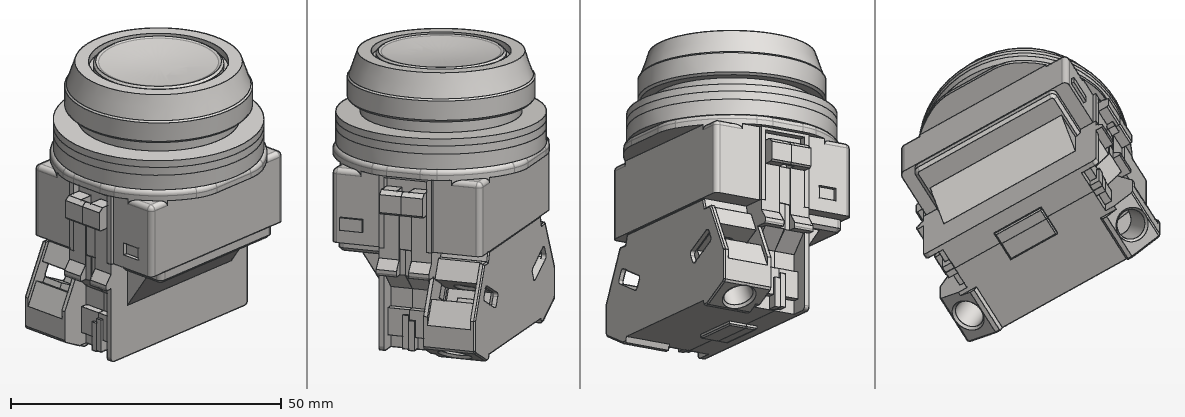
import cadquery as cq
import math


overall_x = 39.0
overall_y = 41.4
top_z = 54.4
neck_top_z = 45.35
flange_top_z = 42.8
gasket_top_z = 41.45
washer_top_z = 39.9
plate_top_z = 36.95
housing_top_z = 35.0
housing_bottom_z = 20.85
core_bottom_z = 1.05

flange_radius = overall_x / 2
neck_radius = 15.0
bezel_radius = 17.4
bezel_top_radius = 15.5
cone_foot_radius = 17.1
cone_foot_z = 49.85
bezel_shoulder_z = 49.5
bezel_chamfer = 0.45
opening_radius = 12.95
ledge_depth = 1.35
button_radius = 12.1
rim_radius = 11.65
rim_drop = 0.45
dish_radius = 11.1
dish_edge_drop = 0.15
dish_depth = 0.65

plate_radius = 20.1
plate_half_x = 19.0
plate_half_y = 19.55
plate_corner_radius = 9.8
edge_round = 1.0
housing_half_x = 14.8
housing_half_y = 17.95
rail_half_x = 5.2
rail_half_y = 18.55
groove_half_x = 4.25
groove_floor_y = 17.0
groove_top_z = 34.4
pocket_x = 9.7
pocket_width = 3.65
pocket_z = 24.6
pocket_height = 2.4
pocket_depth = 0.8
nub_x = 10.8
nub_width = 4.45
nub_height = 0.55

slot_half_x = 1.2
lug_bottom_z = 27.9
lug_top_z = 32.4
lug_half_y = overall_y / 2
lug_chamfer_y = 0.85
lug_chamfer_z = 0.75
lug_bottom_chamfer = 0.3
lug_face_thickness = 0.9
guide_half_y = 18.3
hook_half_y = 19.95
hook_top_z = 18.9
hook_corner_z = 17.0
hook_lip_z = 16.3
hook_bottom_z = 15.95
hook_lip_slant = 0.1

core_half_y = 14.9
core_step_half_y = 16.3
core_step_top_z = 8.85
core_step_bottom_z = 3.65
overhang_bottom_z = 12.55
rib_width = 1.15
rib_half_y = 16.85
bump_half_y = 5.05
bump_bottom_z = 0.25
bump_chamfer = 0.25

block_left_x = -14.65
block_right_x = -rail_half_x
cheek_right_x = -4.45
block_half_y = overall_y / 2
block_edge_chamfer = 0.25
shelf_z = 18.9
shoulder_half_y = 13.35
shelf_inner_y = 13.9
shelf_outer_y = 15.85
wall_top_z = 9.15
wall_bottom_z = 3.4
wall_bevel_half_y = 20.45
wall_bevel_z = 2.9
foot_outer_y = 14.7
foot_inner_y = 13.8
terminal_x = -9.45
terminal_y = -12.45
terminal_z = 11.8
recess_half_x = block_right_x - terminal_x
recess_bottom_z = 7.5
cavity_above = 1.2
entry_below = 2.55
chamber_below = 4.35
cavity_inward = 2.35
entry_edge = 3.4
entry_outward = 8.7
wire_hole_radius = 2.8
wire_mouth_radius = 3.2
wire_mouth_depth = 0.55
screw_seat_radius = 2.3
screw_seat_floor_radius = 1.75
screw_seat_depth = 0.55
slot_length = 7.05
slot_width = 2.9
slot_corner_radius = 0.65
groove_width = 3.15
groove_depth = 0.3

blank_right_x = 14.7
blank_flange_bottom_z = 18.5
blank_flange_half_y = 15.25
blank_flange_round = 1.1
blank_flange_chamfer = 0.65
gusset_half_y = 14.15
gusset_outer_x = 10.2
gusset_bottom_z = 11.2
side_plate_round = 0.8


def box(x_min, x_max, y_min, y_max, z_min, z_max):
    """Block between the given limits."""
    size_x = x_max - x_min
    size_y = y_max - y_min
    size_z = z_max - z_min
    return cq.Workplane("XY").box(size_x, size_y, size_z, centered=False).translate((x_min, y_min, z_min))


def disc(radius, bottom_z, upper_z):
    """Cylinder on the button axis, from bottom_z up to upper_z."""
    return cq.Workplane("XY").workplane(offset=bottom_z).circle(radius).extrude(upper_z - bottom_z)


def prism_along_x(points, x_min, x_max):
    """Extrude a (y, z) outline from x_min to x_max."""
    return cq.Workplane("YZ").workplane(offset=x_min).polyline(points).close().extrude(x_max - x_min)


def symmetric_outline(half_points):
    """Close a (y, z) half outline with its mirror image about y = 0."""
    return half_points + [(-y, z) for y, z in reversed(half_points)]


def with_mirror(feature):
    """Join a feature on the -Y side with its twin on the +Y side."""
    return feature.union(feature.mirror("XZ"))


def make_button():
    """Push button cap: rounded rim around a shallow spherical dish."""
    dish_edge_z = top_z - dish_edge_drop
    outline = (
        cq.Workplane("XZ")
        .moveTo(0, neck_top_z)
        .lineTo(button_radius, neck_top_z)
        .lineTo(button_radius, top_z - rim_drop)
        .lineTo(rim_radius, top_z)
        .lineTo(dish_radius, dish_edge_z)
    )
    sphere_radius = (dish_radius**2 + dish_depth**2) / (2 * dish_depth)
    dish_bottom_z = dish_edge_z - dish_depth
    mid_rise = sphere_radius - math.sqrt(sphere_radius**2 - (dish_radius / 2) ** 2)
    mid_point = (dish_radius / 2, dish_bottom_z + mid_rise)
    return outline.threePointArc(mid_point, (0, dish_bottom_z)).close().revolve()


def make_bezel():
    """Conical bezel ring with a ledge around the button."""
    ledge_z = top_z - ledge_depth
    return (
        cq.Workplane("XZ")
        .polyline([
            (button_radius, neck_top_z),
            (bezel_radius - bezel_chamfer, neck_top_z),
            (bezel_radius, neck_top_z + bezel_chamfer),
            (bezel_radius, bezel_shoulder_z),
            (cone_foot_radius, cone_foot_z),
            (bezel_top_radius, top_z),
            (opening_radius, top_z),
            (opening_radius, ledge_z),
            (button_radius, ledge_z),
        ])
        .close()
        .revolve()
    )


def make_operator():
    """Neck below the bezel and the flange that clamps the panel."""
    neck = disc(neck_radius, flange_top_z, neck_top_z)
    return disc(flange_radius, gasket_top_z, flange_top_z).union(neck)


def make_gasket():
    return disc(flange_radius, washer_top_z, gasket_top_z)


def make_washer():
    return disc(flange_radius, plate_top_z, washer_top_z)


def plate_shape(bottom_z, upper_z):
    """Round plate with four flats and softened corners between arcs and flats."""
    flats = box(-plate_half_x, plate_half_x, -plate_half_y, plate_half_y, bottom_z, upper_z)
    plate = disc(plate_radius, bottom_z, upper_z).intersect(flats)
    return plate.edges("|Z").fillet(plate_corner_radius)


def make_housing():
    body = (
        box(
            -housing_half_x, housing_half_x, -housing_half_y, housing_half_y,
            housing_bottom_z, housing_top_z,
        )
        .edges("|Z or >Z")
        .fillet(edge_round)
    )

    walls = box(
        -housing_half_x, housing_half_x, -housing_half_y, housing_half_y,
        housing_top_z - edge_round, housing_top_z,
    )
    straight_walls = plate_shape(housing_top_z - edge_round, housing_top_z).intersect(walls)
    plate = plate_shape(housing_top_z, plate_top_z).faces(">Z").edges().fillet(edge_round)
    rails = box(-rail_half_x, rail_half_x, -rail_half_y, rail_half_y, housing_bottom_z, housing_top_z)
    body = body.union(straight_walls).union(rails).union(plate)

    groove = box(
        -groove_half_x, groove_half_x, -rail_half_y, -groove_floor_y, housing_bottom_z, groove_top_z
    )
    guide = box(-slot_half_x, slot_half_x, -guide_half_y, -groove_floor_y, housing_bottom_z, lug_bottom_z)
    body = body.cut(with_mirror(groove)).union(with_mirror(guide))

    pocket = cq.Workplane("XY").box(pocket_width, 2 * pocket_depth, pocket_height)
    nub = cq.Workplane("XY").box(nub_width, 2 * nub_height, pocket_height)
    body = body.cut(pocket.translate((pocket_x, -housing_half_y, pocket_z)))
    return body.union(nub.translate((nub_x, housing_half_y, pocket_z)))


def half_latch():
    """Lug, latch strip and hook on the -Y side, from x = 0 outwards."""
    lug = prism_along_x([
        (-groove_floor_y, lug_bottom_z),
        (-lug_half_y + lug_bottom_chamfer, lug_bottom_z),
        (-lug_half_y, lug_bottom_z + lug_bottom_chamfer),
        (-lug_half_y, lug_top_z - lug_chamfer_z),
        (-lug_half_y + lug_chamfer_y, lug_top_z),
        (-groove_floor_y, lug_top_z),
    ], 0, groove_half_x)
    lug_gap = box(
        0, slot_half_x, -lug_half_y + lug_face_thickness, -groove_floor_y, lug_bottom_z, lug_top_z
    )
    strip = box(
        slot_half_x, groove_half_x, -rail_half_y, -groove_floor_y, housing_bottom_z, lug_bottom_z
    )
    hook = prism_along_x([
        (-core_half_y, hook_bottom_z),
        (-hook_half_y + hook_lip_slant, hook_bottom_z),
        (-hook_half_y, hook_lip_z),
        (-hook_half_y, hook_corner_z),
        (-rail_half_y, hook_top_z),
        (-rail_half_y, housing_bottom_z),
        (-core_half_y, housing_bottom_z),
    ], slot_half_x, rail_half_x)
    return lug.cut(lug_gap).union(strip).union(hook)


def half_core(tongue_half_y, rib_bottom_z, rib_top_z, bump_width):
    """Stepped core with its latches, edge rib and bottom bump, from x = 0 outwards."""
    outline = symmetric_outline([
        (-core_half_y, core_bottom_z),
        (-core_half_y, core_step_bottom_z),
        (-core_step_half_y, core_step_bottom_z),
        (-core_step_half_y, core_step_top_z),
        (-core_half_y, core_step_top_z),
        (-core_half_y, overhang_bottom_z),
        (-tongue_half_y, hook_bottom_z),
        (-tongue_half_y, housing_bottom_z),
    ])
    core = prism_along_x(outline, 0, groove_half_x)
    rib = box(0, rib_width, -rib_half_y, -core_half_y, rib_bottom_z, rib_top_z)
    bump = box(0, bump_width, -bump_half_y, bump_half_y, bump_bottom_z, core_bottom_z)
    bump = bump.faces("<Z").edges("not <X").chamfer(bump_chamfer)
    return core.union(with_mirror(half_latch())).union(with_mirror(rib)).union(bump)


def terminal_cuts():
    """Everything removed for the screw terminal on the -Y side."""
    wire_axis = cq.Plane(
        origin=(terminal_x, terminal_y, terminal_z), xDir=(1, 0, 0), normal=(0, -1, -2)
    )

    def along_wire(offset):
        return cq.Workplane(wire_axis).workplane(offset=offset)

    recess_depth = (shelf_z - recess_bottom_z) / 2
    cuts = prism_along_x([
        (-block_half_y, recess_bottom_z),
        (recess_depth - block_half_y, shelf_z),
        (-block_half_y, shelf_z),
    ], terminal_x - recess_half_x, terminal_x + recess_half_x)

    def cavity(x_min, x_max, y_min, y_max, below):
        size_x = x_max - x_min
        size_y = y_max - y_min
        center_x = (x_min + x_max) / 2
        center_y = (y_min + y_max) / 2
        top = along_wire(-cavity_above).center(center_x, center_y)
        return top.rect(size_x, size_y).extrude(cavity_above + below)

    shelf_below = slot_width / 2
    entry = cavity(-recess_half_x, recess_half_x, entry_edge, entry_outward, entry_below)
    shelf = cavity(-recess_half_x, 0, -cavity_inward, entry_edge, shelf_below)
    chamber = cavity(0, recess_half_x, -cavity_inward, entry_edge, chamber_below)
    groove = cavity(
        recess_half_x, recess_half_x + groove_depth, -groove_width / 2, groove_width / 2, shelf_below
    )

    face_run = foot_outer_y + terminal_y
    mouth_offset = (face_run + 2 * terminal_z) / math.sqrt(5)
    wire_hole = along_wire(chamber_below).circle(wire_hole_radius).extrude(mouth_offset - chamber_below)
    wire_mouth = (
        along_wire(mouth_offset)
        .circle(wire_mouth_radius)
        .workplane(offset=-wire_mouth_depth)
        .circle(wire_hole_radius)
        .loft()
    )
    screw_seat = (
        along_wire(-cavity_above)
        .circle(screw_seat_radius)
        .workplane(offset=-screw_seat_depth)
        .circle(screw_seat_floor_radius)
        .loft()
    )

    side = cq.Plane(
        origin=(block_left_x, terminal_y, terminal_z), xDir=(0, 2, -1), normal=(1, 0, 0)
    )
    slot = (
        cq.Workplane(side)
        .rect(slot_length, slot_width)
        .extrude(terminal_x - recess_half_x - block_left_x)
        .edges("|X")
        .fillet(slot_corner_radius)
    )
    for cut in (entry, shelf, chamber, groove, wire_hole, wire_mouth, screw_seat, slot):
        cuts = cuts.union(cut)
    return cuts


def make_wired_block():
    side_outline = [
        (-foot_outer_y, 0),
        (-wall_bevel_half_y, wall_bevel_z),
        (-block_half_y, wall_bottom_z),
        (-block_half_y, wall_top_z),
        (-shelf_outer_y, shelf_z),
        (-shelf_inner_y, shelf_z),
        (-shoulder_half_y, housing_bottom_z),
    ]
    outline = symmetric_outline(side_outline)
    block = prism_along_x(outline, block_left_x, block_right_x)
    block = block.faces("<X").edges().chamfer(block_edge_chamfer)
    foot_gap = symmetric_outline([(-foot_inner_y, 0), (-shoulder_half_y, core_bottom_z)])
    block = block.cut(prism_along_x(foot_gap, block_left_x, block_right_x))

    cheek = prism_along_x(outline, block_right_x, cheek_right_x)
    cheek_limits = box(
        block_right_x, cheek_right_x, -block_half_y, block_half_y, core_bottom_z, hook_bottom_z
    )
    cheek = cheek.intersect(cheek_limits)
    filler = box(
        block_right_x, -groove_half_x, -core_half_y, core_half_y, core_bottom_z, housing_bottom_z
    )
    core = half_core(tongue_half_y=18.45, rib_bottom_z=1.2, rib_top_z=6.9, bump_width=3.7)
    block = block.union(cheek).union(filler).union(core.mirror("YZ"))
    return block.cut(with_mirror(terminal_cuts()))


def make_blank_block():
    core = half_core(tongue_half_y=18.15, rib_bottom_z=1.4, rib_top_z=7.9, bump_width=2.3)
    side_plate = box(
        groove_half_x, rail_half_x, -rail_half_y, rail_half_y, core_bottom_z, housing_bottom_z
    )
    side_plate = side_plate.edges("|X and <Z").fillet(side_plate_round)
    flange = box(
        rail_half_x, blank_right_x, -blank_flange_half_y, blank_flange_half_y,
        blank_flange_bottom_z, housing_bottom_z,
    )
    flange = flange.edges("|Z and >X").fillet(blank_flange_round)
    flange = flange.faces("<Z").edges("|X").chamfer(blank_flange_chamfer)
    gusset = (
        cq.Workplane("XZ")
        .workplane(offset=-gusset_half_y)
        .polyline([
            (rail_half_x, gusset_bottom_z),
            (gusset_outer_x, blank_flange_bottom_z),
            (rail_half_x, blank_flange_bottom_z),
        ])
        .close()
        .extrude(2 * gusset_half_y)
    )
    return core.union(side_plate).union(flange).union(gusset)


button = make_button()
bezel = make_bezel()
operator = make_operator()
gasket = make_gasket()
washer = make_washer()
housing = make_housing()
wired_block = make_wired_block()
blank_block = make_blank_block()

result = cq.Compound.makeCompound([
    button.val(),
    bezel.val(),
    operator.val(),
    gasket.val(),
    washer.val(),
    housing.val(),
    wired_block.val(),
    blank_block.val(),
])